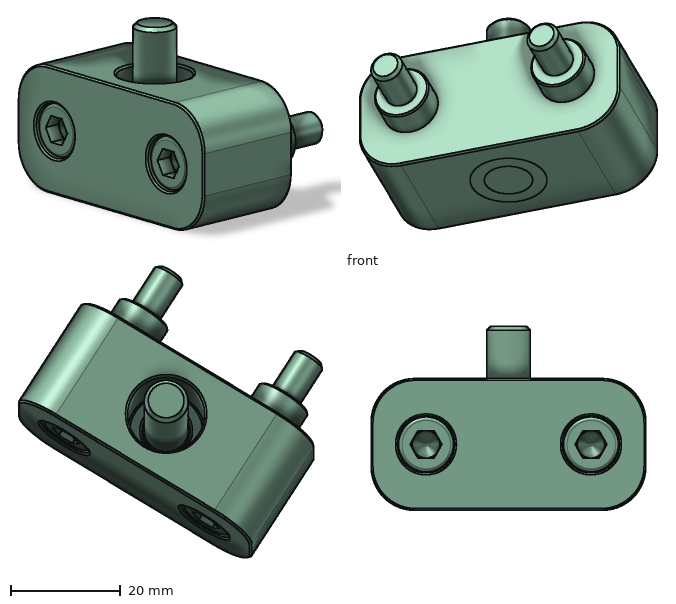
import cadquery as cq
import math

HOUSING_LENGTH = 50.0
HOUSING_DEPTH = 22.0
HOUSING_HEIGHT = 24.0
HOUSING_CORNER_RADIUS = 8.0
HOUSING_EDGE_CHAMFER = 0.35

BORE_DIAMETER = 14.0
BORE_CHAMFER = 0.4
BORE_Y = HOUSING_DEPTH / 2
GUIDE_HEIGHT = HOUSING_HEIGHT / 2
GUIDE_CHAMFER = 0.4
GUIDE_HOLE_CHAMFER = 0.4

SHOULDER_DIAMETER = 8.8
SHOULDER_CHAMFER = 0.3
PIN_DIAMETER = 8.0
PIN_PROJECTION = 9.5
PIN_CHAMFER = 0.75

SCREW_SPACING = 30.0
BUSH_DIAMETER = 10.4
BUSH_PROJECTION = 5.5
BUSH_CHAMFER = 0.3
MOUNT_HOLE_CHAMFER = 0.35

HEAD_DIAMETER = 10.0
HEAD_HEIGHT = 6.0
HEAD_RECESS = 0.5
HEAD_EDGE_RADIUS = 0.6
HEX_ACROSS_FLATS = 5.0
HEX_DEPTH = 3.0
SOCKET_CONE_ANGLE = 120.0
THREAD_DIAMETER = 6.0
THREAD_PROJECTION = 9.0
THREAD_CHAMFER = 0.65

housing_bottom = -HOUSING_HEIGHT / 2
housing_top = HOUSING_HEIGHT / 2
guide_top = housing_bottom + GUIDE_HEIGHT
screw_positions = [-SCREW_SPACING / 2, SCREW_SPACING / 2]
bush_front = HEAD_RECESS + HEAD_HEIGHT
bush_back = HOUSING_DEPTH + BUSH_PROJECTION


def cylinder_along_y(diameter, start, end):
    """Cylinder on the Y axis between two Y positions."""
    plane = cq.Workplane("XZ", origin=(0, start, 0))
    return plane.circle(diameter / 2).extrude(-(end - start))


def cylinder_along_z(diameter, start, end):
    """Cylinder on the bore axis between two Z positions."""
    plane = cq.Workplane("XY", origin=(0, BORE_Y, start))
    return plane.circle(diameter / 2).extrude(end - start)


def make_housing():
    block = cq.Workplane("XY").box(HOUSING_LENGTH, HOUSING_DEPTH, HOUSING_HEIGHT)
    block = block.translate((0, HOUSING_DEPTH / 2, 0))
    block = block.edges("|Y").fillet(HOUSING_CORNER_RADIUS)
    block = block.faces("<Y or >Y").edges().chamfer(HOUSING_EDGE_CHAMFER)

    bore = cylinder_along_z(BORE_DIAMETER, housing_bottom, housing_top)
    block = block.cut(bore)
    block = block.faces(">Z").edges("%CIRCLE").chamfer(BORE_CHAMFER)

    for x in screw_positions:
        mount_hole = cylinder_along_y(BUSH_DIAMETER, 0, HOUSING_DEPTH)
        block = block.cut(mount_hole.translate((x, 0, 0)))
    hole_rims = cq.selectors.RadiusNthSelector(0)
    return block.faces("<Y").edges(hole_rims).chamfer(MOUNT_HOLE_CHAMFER)


def make_guide_ring():
    ring = cylinder_along_z(BORE_DIAMETER, housing_bottom, guide_top)
    ring = ring.faces(">Z").edges().chamfer(GUIDE_CHAMFER)
    ring = ring.cut(cylinder_along_z(SHOULDER_DIAMETER, housing_bottom, guide_top))
    hole_rim = cq.selectors.RadiusNthSelector(0)
    return ring.faces(">Z").edges(hole_rim).chamfer(GUIDE_HOLE_CHAMFER)


def make_pin():
    shoulder = cylinder_along_z(SHOULDER_DIAMETER, housing_bottom, guide_top)
    shoulder = shoulder.faces(">Z").edges().chamfer(SHOULDER_CHAMFER)
    shank = cylinder_along_z(PIN_DIAMETER, guide_top, housing_top + PIN_PROJECTION)
    shank = shank.faces(">Z").edges().chamfer(PIN_CHAMFER)
    return shoulder.union(shank)


def make_bush(x):
    bush = cylinder_along_y(BUSH_DIAMETER, bush_front, bush_back)
    bush = bush.faces(">Y").edges().chamfer(BUSH_CHAMFER)
    bush = bush.cut(cylinder_along_y(THREAD_DIAMETER, bush_front, bush_back))
    return bush.translate((x, 0, 0))


def make_socket():
    """Hexagonal recess with a conical bottom that meets the six flats."""
    corner_diameter = HEX_ACROSS_FLATS / math.cos(math.pi / 6)
    hex_plane = cq.Workplane("XZ", origin=(0, HEAD_RECESS, 0))
    hexagon = hex_plane.polygon(6, corner_diameter).extrude(-HEX_DEPTH)
    cone_radius = HEX_ACROSS_FLATS / 2
    cone_depth = cone_radius / math.tan(math.radians(SOCKET_CONE_ANGLE / 2))
    cone_base = cq.Vector(0, HEAD_RECESS + HEX_DEPTH, 0)
    cone = cq.Solid.makeCone(cone_radius, 0, cone_depth, cone_base, cq.Vector(0, 1, 0))
    return hexagon.union(cq.Workplane(cone))


def make_screw(x):
    head = cylinder_along_y(HEAD_DIAMETER, HEAD_RECESS, bush_front)
    head = head.faces("<Y").edges().fillet(HEAD_EDGE_RADIUS)
    shank = cylinder_along_y(THREAD_DIAMETER, bush_front, bush_back + THREAD_PROJECTION)
    shank = shank.faces(">Y").edges().chamfer(THREAD_CHAMFER)
    return head.union(shank).cut(make_socket()).translate((x, 0, 0))


housing = make_housing()
guide_ring = make_guide_ring()
pin = make_pin()
bushes = [make_bush(x).val() for x in screw_positions]
screws = [make_screw(x).val() for x in screw_positions]

result = cq.Compound.makeCompound([housing.val(), guide_ring.val(), pin.val(), *bushes, *screws])